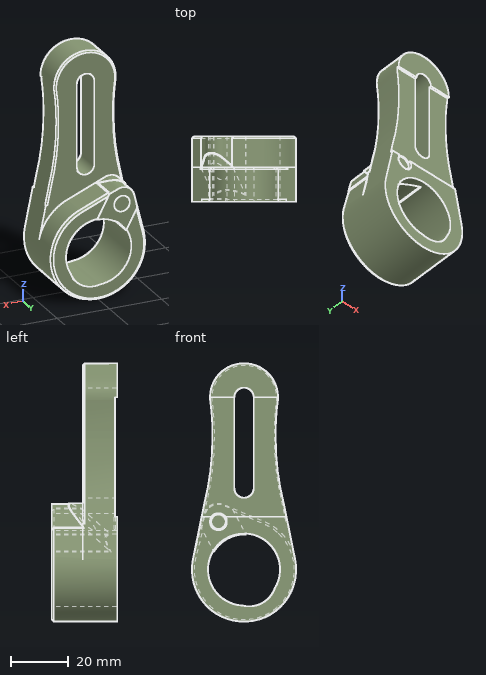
import cadquery as cq
import math

total_length = 89.9
total_depth = 22.8

ring_radius = 18.2
ring_z = ring_radius
bore_radius = 12.5

arm_depth = 12.0
arm_chamfer = 0.6
arm_chamfer_end_z = 34.2
head_radius = 11.9
head_z = total_length - head_radius
head_end_z = 77.1
waist_half_width = 11.1
waist_top_z = 66.4
waist_bottom_z = 63.7
flank_top_half_width = 13.85
flank_top_z = 41.1
slot_width = 6.65
slot_bottom_z = 43.2

relief_depth = 0.8
relief_bottom_z = 36.6

screw_x = -8.9
screw_z = 34.8
boss_x = -9.3
boss_z = 36.6
boss_radius = 4.7
boss_chamfer = 0.8
screw_radius = 3.0
screw_chamfer = 0.45
screw_recess = 0.8
jaw_width = 12.7
wedge_offset = 8.2
jaw_travel = 0.4

groove_depth = 13.2

screw_rise = screw_z - ring_z
screw_distance = math.hypot(screw_x, screw_rise)
clamp_x = screw_x / screw_distance
clamp_z = screw_rise / screw_distance


def front_plane(y):
    """XZ sketch plane at depth y; extruding by a negative length goes towards +Y."""
    return cq.Workplane("XZ", origin=(0, y, 0))


def clamp_plane(y):
    """Sketch plane on the bore axis at depth y, with local +Y along the clamping direction."""
    return cq.Workplane(cq.Plane((0, y, ring_z), xDir=(clamp_z, 0, -clamp_x), normal=(0, -1, 0)))


def cylinder(x, z, radius, y_start, y_end):
    return front_plane(y_start).center(x, z).circle(radius).extrude(y_start - y_end)


def arm_plate():
    """Round head, waisted neck and flanks that run tangent into the ring."""
    head_end_x = math.sqrt(head_radius**2 - (head_end_z - head_z) ** 2)
    flank_rise = flank_top_z - ring_z
    flank_distance = math.hypot(flank_top_half_width, flank_rise)
    tangent_angle = math.atan2(flank_rise, flank_top_half_width) - math.acos(ring_radius / flank_distance)
    tangent_x = ring_radius * math.cos(tangent_angle)
    tangent_z = ring_z + ring_radius * math.sin(tangent_angle)
    half_neck = (waist_top_z - head_end_z) / 2
    upper_mid = (waist_half_width + (head_end_x - waist_half_width) / 4, waist_top_z - half_neck)
    lower_mid = (
        waist_half_width + (flank_top_half_width - waist_half_width) / 4,
        (waist_bottom_z + flank_top_z) / 2,
    )
    plate = (
        front_plane(0)
        .moveTo(-head_end_x, head_end_z)
        .threePointArc((0, total_length), (head_end_x, head_end_z))
        .threePointArc(upper_mid, (waist_half_width, waist_top_z))
        .lineTo(waist_half_width, waist_bottom_z)
        .threePointArc(lower_mid, (flank_top_half_width, flank_top_z))
        .lineTo(tangent_x, tangent_z)
        .threePointArc((0, 0), (-tangent_x, tangent_z))
        .lineTo(-flank_top_half_width, flank_top_z)
        .threePointArc((-lower_mid[0], lower_mid[1]), (-waist_half_width, waist_bottom_z))
        .lineTo(-waist_half_width, waist_top_z)
        .threePointArc((-upper_mid[0], upper_mid[1]), (-head_end_x, head_end_z))
        .close()
        .extrude(-arm_depth)
    )
    lower_part = (
        front_plane(0)
        .rect(2 * ring_radius, 2 * arm_chamfer_end_z)
        .extrude(-arm_depth)
        .intersect(plate)
    )
    return plate.faces(">Y").chamfer(arm_chamfer).union(lower_part)


def boss_block(y_start, y_end):
    """Ring and clamp boss outlines joined by their common outer tangents."""
    boss_rise = boss_z - ring_z
    axis_angle = math.atan2(boss_rise, boss_x)
    half_angle = math.acos((ring_radius - boss_radius) / math.hypot(boss_x, boss_rise))
    right = axis_angle - half_angle
    left = axis_angle + half_angle

    def ring_point(angle):
        return ring_radius * math.cos(angle), ring_z + ring_radius * math.sin(angle)

    def boss_point(angle):
        return boss_x + boss_radius * math.cos(angle), boss_z + boss_radius * math.sin(angle)

    return (
        front_plane(y_start)
        .moveTo(*ring_point(right))
        .lineTo(*boss_point(right))
        .threePointArc(boss_point(axis_angle), boss_point(left))
        .lineTo(*ring_point(left))
        .threePointArc(ring_point(axis_angle + math.pi), ring_point(right))
        .close()
        .extrude(y_start - y_end)
    )


def jaw_pocket():
    """Straight-sided pocket, open to the rear and the bore, with a 45 degree wedge floor."""
    floor_plane = cq.Plane((0, 0, ring_z), xDir=(clamp_x, 0, clamp_z), normal=(-clamp_z, 0, clamp_x))
    return (
        cq.Workplane(floor_plane)
        .moveTo(0, -wedge_offset)
        .lineTo(wedge_offset + total_depth, total_depth)
        .lineTo(0, total_depth)
        .close()
        .extrude(jaw_width / 2, both=True)
    )


def arm_slot():
    top_center_z = head_z
    bottom_center_z = slot_bottom_z + slot_width / 2
    return (
        front_plane(0)
        .center(0, (top_center_z + bottom_center_z) / 2)
        .slot2D(top_center_z - bottom_center_z + slot_width, slot_width, 90)
        .extrude(-arm_depth)
    )


def front_relief():
    return (
        front_plane(0)
        .center(0, (head_z + relief_bottom_z) / 2)
        .rect(2 * ring_radius, head_z - relief_bottom_z)
        .extrude(-relief_depth)
    )


def bore_groove():
    """Round-bottomed groove as wide as the jaw, running the length of the bore."""
    half_width = jaw_width / 2
    edge_depth = math.sqrt(bore_radius**2 - half_width**2)
    return (
        clamp_plane(0)
        .moveTo(-half_width, -edge_depth)
        .threePointArc((0, -groove_depth), (half_width, -edge_depth))
        .close()
        .extrude(-total_depth)
    )


def make_housing():
    rear_block = boss_block(arm_depth - arm_chamfer, total_depth).faces(">Y").chamfer(boss_chamfer)
    ring = cylinder(0, ring_z, ring_radius, 0, total_depth).faces(">Y").chamfer(boss_chamfer)
    body = arm_plate().union(ring)
    body = body.union(rear_block)
    body = body.cut(cylinder(0, ring_z, bore_radius, 0, total_depth))
    body = body.cut(bore_groove())
    body = body.cut(arm_slot())
    body = body.cut(front_relief())
    body = body.cut(jaw_pocket())
    return body.cut(cylinder(screw_x, screw_z, screw_radius, 0, total_depth))


def make_jaw():
    """Clamping wedge with the boss outline and bore, moved towards the bore axis."""
    shift = (-jaw_travel * clamp_x, 0, -jaw_travel * clamp_z)
    outline = boss_block(0, total_depth).cut(cylinder(0, ring_z, bore_radius, 0, total_depth))
    body = outline.translate(shift).intersect(jaw_pocket())
    return body.cut(cylinder(screw_x, screw_z, screw_radius, 0, total_depth))


def make_screw():
    shank = cylinder(screw_x, screw_z, screw_radius, screw_recess, total_depth)
    return shank.faces("<Y").chamfer(screw_chamfer)


housing = make_housing()
jaw = make_jaw()
screw = make_screw()

result = cq.Compound.makeCompound([housing.solids().val(), jaw.solids().val(), screw.solids().val()])